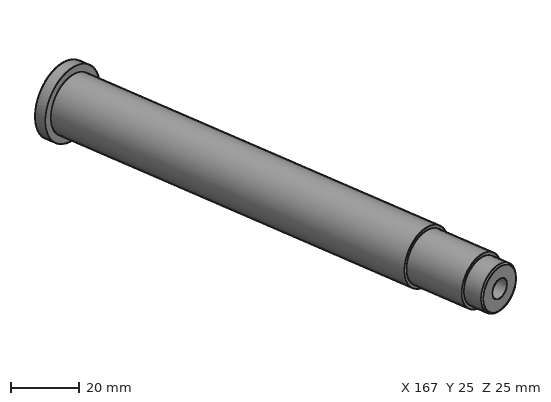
import cadquery as cq

length = 167.0
bore_diameter = 6.7

head_diameter = 25.0
head_thickness = 4.0

body_diameter = 20.0
neck_diameter = 18.0
neck_length = 21.0
tip_diameter = 16.0
tip_length = 7.0
tip_chamfer = 0.5

head_face = -length / 2
tip_end = length / 2
neck_end = tip_end - tip_length
body_end = neck_end - neck_length


def cylinder_along_x(start, end, diameter):
    """Solid cylinder on the X axis between two X positions."""
    return cq.Workplane("YZ", origin=(start, 0, 0)).circle(diameter / 2).extrude(end - start)


head = cylinder_along_x(head_face, head_face + head_thickness, head_diameter)
body = cylinder_along_x(head_face, body_end, body_diameter)
neck = cylinder_along_x(body_end, neck_end, neck_diameter)
tip = cylinder_along_x(neck_end, tip_end, tip_diameter).faces(">X").edges().chamfer(tip_chamfer)

bore = cylinder_along_x(head_face, tip_end, bore_diameter)

result = head.union(body).union(neck).union(tip).cut(bore)